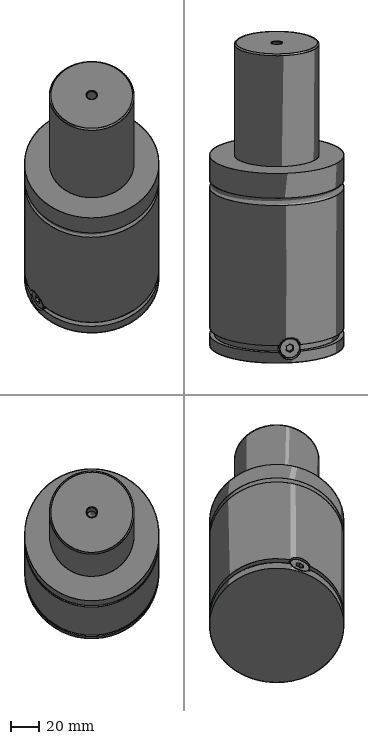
import cadquery as cq
import math

total_height = 222.0
body_radius = 95.0 / 2
body_height = 139.5
rod_radius = 60.0 / 2
rod_chamfer = 1.0

collar_groove_bottom = 115.9
collar_groove_top = 121.2
collar_groove_depth = 2.2

base_groove_bottom = 8.0
base_groove_top = 12.9
base_groove_depth = 3.3

rod_hole_diameter = 6.9
rod_hole_mouth_diameter = 8.0
rod_hole_depth = 13.3
drill_point_angle = 118.0

plug_height = (base_groove_bottom + base_groove_top) / 2
plug_diameter = 14.0
plug_face_distance = 46.5
plug_pocket_diameter = 16.0
plug_pocket_floor_distance = 42.8
socket_across_flats = 5.0
socket_depth = 2.7


def make_body_and_rod():
    """Revolve the half-section of the body, its two grooves and the rod."""
    base_groove_radius = body_radius - base_groove_depth
    collar_groove_radius = body_radius - collar_groove_depth
    collar_groove_middle = (collar_groove_bottom + collar_groove_top) / 2
    profile = (
        cq.Workplane("XZ")
        .lineTo(body_radius, 0)
        .lineTo(body_radius, base_groove_bottom)
        .lineTo(base_groove_radius, base_groove_bottom)
        .lineTo(base_groove_radius, base_groove_top)
        .lineTo(body_radius, base_groove_top)
        .lineTo(body_radius, collar_groove_bottom)
        .threePointArc((collar_groove_radius, collar_groove_middle), (body_radius, collar_groove_top))
        .lineTo(body_radius, body_height)
        .lineTo(rod_radius, body_height)
        .lineTo(rod_radius, total_height - rod_chamfer)
        .lineTo(rod_radius - rod_chamfer, total_height)
        .lineTo(0, total_height)
        .close()
    )
    return profile.revolve(360, (0, 0, 0), (0, 1, 0))


def make_rod_hole():
    """Blind hole with a 45 degree countersunk mouth and a drill-point bottom."""
    hole_radius = rod_hole_diameter / 2
    mouth_radius = rod_hole_mouth_diameter / 2
    mouth_depth = mouth_radius - hole_radius
    hole_bottom = total_height - rod_hole_depth
    point_length = hole_radius / math.tan(math.radians(drill_point_angle / 2))
    profile = (
        cq.Workplane("XZ")
        .moveTo(0, total_height)
        .lineTo(mouth_radius, total_height)
        .lineTo(hole_radius, total_height - mouth_depth)
        .lineTo(hole_radius, hole_bottom)
        .lineTo(0, hole_bottom - point_length)
        .close()
    )
    return profile.revolve(360, (0, 0, 0), (0, 1, 0))


def plug_plane(distance):
    """Plane facing -Y on the plug axis, at a distance from the body axis."""
    return cq.Workplane("XZ", origin=(0, -distance, plug_height))


def make_plug_pocket():
    return (
        plug_plane(plug_pocket_floor_distance)
        .circle(plug_pocket_diameter / 2)
        .extrude(body_radius - plug_pocket_floor_distance)
    )


def make_plug():
    """Round plug, rooted in the body, with a hexagon socket in its face."""
    root_distance = plug_pocket_floor_distance - socket_depth
    socket_across_corners = socket_across_flats / math.cos(math.radians(30))
    plug = (
        plug_plane(root_distance)
        .circle(plug_diameter / 2)
        .extrude(plug_face_distance - root_distance)
    )
    socket = (
        plug_plane(plug_face_distance)
        .transformed(rotate=(0, 0, 90))
        .polygon(6, socket_across_corners)
        .extrude(-socket_depth)
    )
    return plug.cut(socket)


result = (
    make_body_and_rod()
    .cut(make_rod_hole())
    .cut(make_plug_pocket())
    .union(make_plug())
)